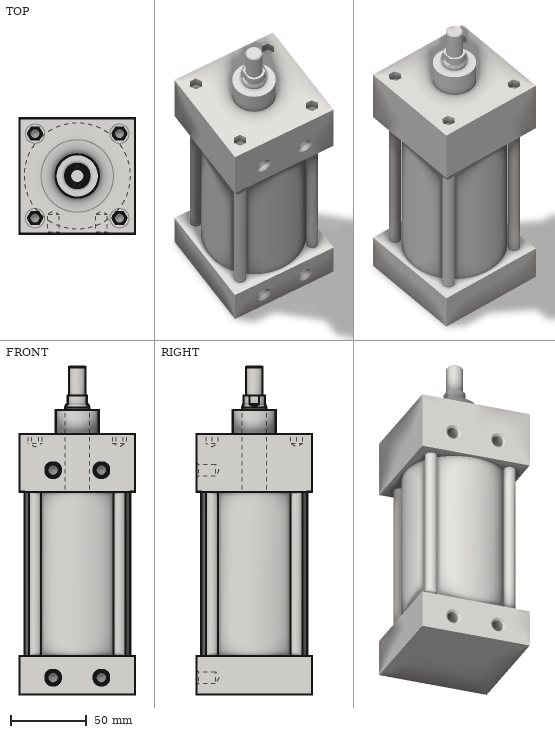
import cadquery as cq
import math

block_side = 76.2
base_height = 25.4
tube_length = 107.95
tube_diameter = 69.85
head_height = 38.1
head_bottom = base_height + tube_length
head_top = head_bottom + head_height

bushing_diameter = 47.625
bushing_depth = 12.7
nose_diameter = 28.575
nose_height = 15.875
nose_top = head_top + nose_height

tie_rod_offset = 27.8
tie_rod_diameter = 7.9375
screw_head_diameter = 12.7
screw_head_depth = 9.525
socket_across_flats = 7.9375
socket_depth = 6.35
socket_drill_diameter = 7.4

port_offset = 15.875
port_diameter = 7.7
port_mouth_diameter = 10.3
port_chamfer = (port_mouth_diameter - port_diameter) / 2
port_depth = 12.7
base_port_height = 11.1125
head_port_height = head_bottom + 14.2875
drill_point_angle = 118

rod_diameter = 15.875
rod_bottom = head_bottom
rod_shoulder_height = nose_top + 1.5875
neck_diameter = 14.2875
neck_bottom = rod_shoulder_height + 2.38125
stud_diameter = 11.1125
stud_length = 19.05
overall_height = 215.9
neck_top = overall_height - stud_length
stud_chamfer = 0.79375
flats_width = 12.7


def cylinder(diameter, bottom, top, x=0, y=0):
    """Upright cylinder between two heights."""
    return cq.Workplane("XY", origin=(x, y, bottom)).circle(diameter / 2).extrude(top - bottom)


def square_block(bottom, height):
    """Square end block standing on the given height."""
    return cq.Workplane("XY", origin=(0, 0, bottom)).rect(block_side, block_side).extrude(height)


def drill_point(diameter):
    """Height of the cone at the bottom of a drilled hole."""
    return diameter / 2 / math.tan(math.radians(drill_point_angle / 2))


def hex_socket(x, y):
    """Hex socket with a conical bottom, with two flats square to Y."""
    across_corners = socket_across_flats / math.cos(math.radians(30))
    floor = head_top - socket_depth
    hexagon = cq.Workplane("XY", origin=(x, y, floor)).polygon(6, across_corners).extrude(socket_depth)
    cone = cq.Solid.makeCone(
        socket_drill_diameter / 2,
        0,
        drill_point(socket_drill_diameter),
        cq.Vector(x, y, floor),
        cq.Vector(0, 0, -1),
    )
    return hexagon.union(cq.Workplane(cone))


def port(x, z):
    """Chamfered drilled hole running in +Y from the -Y face."""
    radius = port_diameter / 2
    profile = [
        (0, 0),
        (port_mouth_diameter / 2, 0),
        (radius, port_chamfer),
        (radius, port_depth),
        (0, port_depth + drill_point(port_diameter)),
    ]
    hole = cq.Workplane("XY").polyline(profile).close().revolve(360, (0, 0), (0, 1))
    return hole.translate((x, -block_side / 2, z))


def make_cylinder_body():
    """Blocks, tube, tie rods, bushing and screw heads as one solid, bored for the rod."""
    bushing = cylinder(bushing_diameter, head_top - bushing_depth, head_top)
    bushing = bushing.union(cylinder(nose_diameter, head_top, nose_top))
    head = square_block(head_bottom, head_height).cut(bushing)
    inserts = [bushing]
    tie_rods = cylinder(tube_diameter, base_height, head_bottom)
    for x in (-tie_rod_offset, tie_rod_offset):
        for y in (-tie_rod_offset, tie_rod_offset):
            screw_head = cylinder(screw_head_diameter, head_top - screw_head_depth, head_top, x, y)
            head = head.cut(screw_head)
            inserts.append(screw_head.cut(hex_socket(x, y)))
            tie_rods = tie_rods.union(cylinder(tie_rod_diameter, base_height, head_bottom, x, y))
    body = square_block(0, base_height).union(tie_rods).union(head)
    for x in (-port_offset, port_offset):
        for z in (base_port_height, head_port_height):
            body = body.cut(port(x, z))
    for insert in inserts:
        body = body.union(insert, clean=False)
    return body.cut(cylinder(rod_diameter, rod_bottom, nose_top), clean=False)


def wrench_flat_cutter():
    """Material outside the +X flat; its lower end slopes outward at 45 degrees."""
    flat_x = flats_width / 2
    reach = rod_diameter / 2
    profile = [
        (flat_x, neck_bottom),
        (flat_x, neck_top),
        (reach, neck_top),
        (reach, neck_bottom - (reach - flat_x)),
    ]
    return cq.Workplane("XZ").polyline(profile).close().extrude(reach, both=True)


def make_piston_rod():
    """Turned rod with a tapered shoulder, two wrench flats and a stud end."""
    profile = [
        (0, rod_bottom),
        (rod_diameter / 2, rod_bottom),
        (rod_diameter / 2, rod_shoulder_height),
        (neck_diameter / 2, neck_bottom),
        (neck_diameter / 2, neck_top),
        (stud_diameter / 2, neck_top),
        (stud_diameter / 2, overall_height - stud_chamfer),
        (stud_diameter / 2 - stud_chamfer, overall_height),
        (0, overall_height),
    ]
    rod = cq.Workplane("XZ").polyline(profile).close().revolve(360, (0, 0), (0, 1))
    flat = wrench_flat_cutter()
    return rod.cut(flat).cut(flat.mirror("YZ"))


cylinder_body = make_cylinder_body()
piston_rod = make_piston_rod()

result = cq.Compound.makeCompound([cylinder_body.val(), piston_rod.val()])